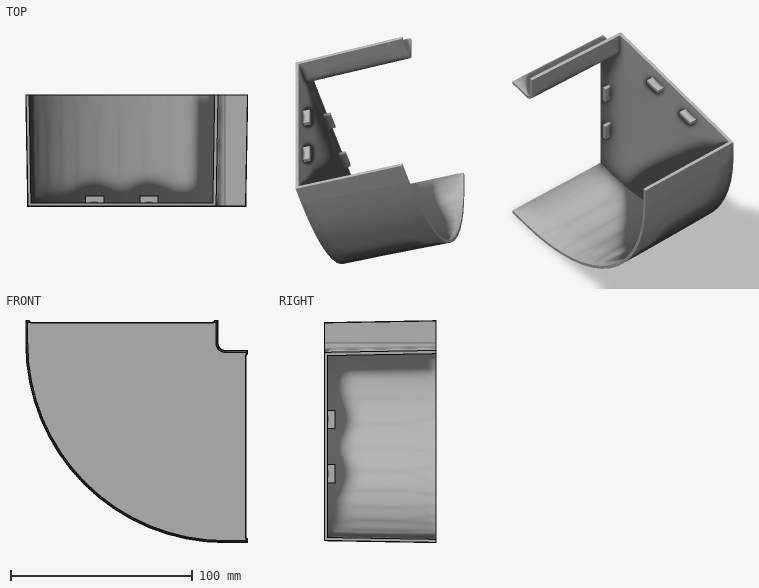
import cadquery as cq
import math

overall_size = 122.45
depth = 61.6
bend_radius = 110.0
draft_angle = 1.0
wall = 1.8
floor_thickness = 1.8
notch_size = 16.4
notch_fillet_radius = 4.0

end_overrun = 5.0

tab_width = 10.0
tab_height = 4.0
tab_thickness = 2.0
tab_setback = 10.0
tab_pitch = 30.0

end = overall_size - bend_radius
notch = end - notch_size
mouth_middle = (notch - bend_radius) / 2


def tapered_body(inset, overrun, length):
    """Body narrowing from the back face toward the front.

    The walls are moved inward by inset, and both open ends are extended by overrun.
    """
    radius = bend_radius - inset
    inner = notch - inset
    fillet = notch_fillet_radius + inset
    tip = end + overrun
    arc_middle = -radius * math.sqrt(0.5)
    fillet_middle = inner + fillet * (1 - math.sqrt(0.5))
    return (
        cq.Workplane("XZ", origin=(0, depth, 0))
        .moveTo(-radius, tip)
        .lineTo(-radius, 0)
        .threePointArc((arc_middle, arc_middle), (0, -radius))
        .lineTo(tip, -radius)
        .lineTo(tip, inner)
        .lineTo(inner + fillet, inner)
        .threePointArc((fillet_middle, fillet_middle), (inner, inner + fillet))
        .lineTo(inner, tip)
        .close()
        .extrude(length, taper=draft_angle)
    )


def tab(across, along, size_x, size_z):
    """Tab centred at X = across and Z = along, rooted in the front plate."""
    root = floor_thickness / 2
    root_to_top = floor_thickness + tab_height - root
    block = cq.Workplane("XY").box(size_x, root_to_top, size_z, centered=(True, False, True))
    return block.translate((across, root, along))


def add_tabs(body):
    """Add a pair of tabs at the top end and a matching pair at the right end."""
    line = end - tab_setback
    for side in (-1, 1):
        place = mouth_middle + side * tab_pitch / 2
        body = body.union(tab(place, line, tab_width, tab_thickness))
        body = body.union(tab(line, place, tab_thickness, tab_width))
    return body


outside = tapered_body(0, 0, depth)
inside = tapered_body(wall, end_overrun, depth - floor_thickness)
result = add_tabs(outside.cut(inside))